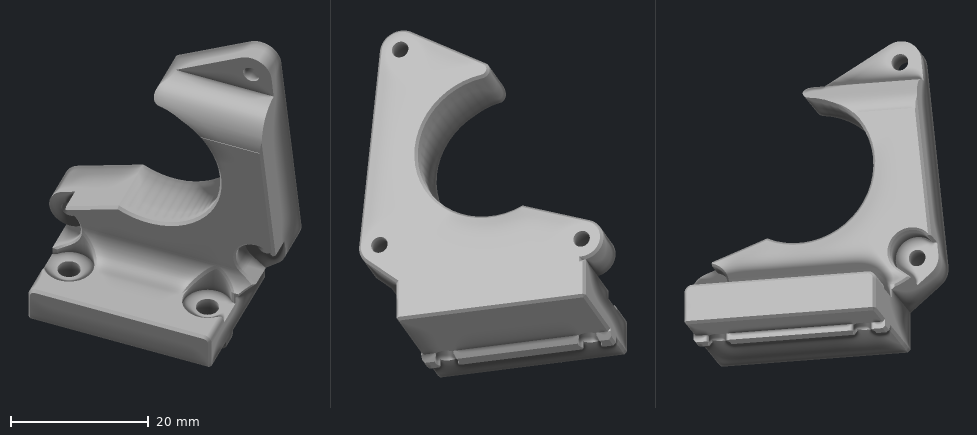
import cadquery as cq
import math


BASE_WIDTH = 28.7
BASE_DEPTH = 21.5
BASE_HEIGHT = 6.0
EDGE_CHAMFER = 0.4
RIM_CHAMFER = 0.3
SHOULDER_RADIUS = 1.2

PLATE_THICKNESS = 10.3
WEB_RADIUS = 4.0
OPENING_RADIUS = 11.15
OPENING_CENTER = (0.0, 26.0)
TIP_RADIUS = 1.25

EAR_RADIUS = 3.2
EAR_HOLE_DIAMETER = 2.5
LEFT_EAR = (-13.83, BASE_HEIGHT + EAR_RADIUS)
RIGHT_EAR = (16.85, 12.3)
TOP_EAR = (13.7, 43.12)
EAR_THICKNESS = 6.5
LEFT_SLOPE = 20.0
TIP_SLOPE = 30.0

TAB_THICKNESS = 4.2
TAB_ROUND_RADIUS = 6.0
TAB_ROUND_BOTTOM = 34.0

LEFT_RELIEF_OFFSET = 0.85
RELIEF_HALF_WIDTH = 2.15
RIGHT_RELIEF_SLOPE = 38.0

SCREW_SPACING = 21.7
SCREW_Y = -14.05
SCREW_HOLE_DIAMETER = 3.4
COUNTERBORE_RADIUS = 3.7
COUNTERBORE_DEPTH = 1.2

FOOT_HEIGHT = 1.0
FOOT_FRONT_Y = -15.6
FOOT_BACK_Y = -12.75
FOOT_SLOPE_RUN = 0.75
FOOT_GAP = 2.7
FOOT_CORNER_RADIUS = 0.4

LEFT_RIM_ANGLE = 45
LEFT_RIDGE_ANGLE = -40
RIGHT_RIM_ANGLE = 145

REACH = 60.0

HALF_WIDTH = BASE_WIDTH / 2
ROOT_Z = BASE_HEIGHT / 2
SCREW_XS = (-SCREW_SPACING / 2, SCREW_SPACING / 2)


def move(point, direction, distance):
    return (point[0] + direction[0] * distance, point[1] + direction[1] * distance)


def heading(degrees):
    return (math.cos(math.radians(degrees)), math.sin(math.radians(degrees)))


def angle_to(start, end):
    return math.degrees(math.atan2(end[1] - start[1], end[0] - start[0]))


def last_crossing(point, direction, center, radius):
    """Point where a line, followed along a unit direction, finally leaves a circle."""
    dx = point[0] - center[0]
    dz = point[1] - center[1]
    along = dx * direction[0] + dz * direction[1]
    reach = math.sqrt(along**2 - (dx**2 + dz**2 - radius**2))
    return move(point, direction, reach - along)


def front_prism(sketch, start_y, end_y):
    """Extrude an XZ sketch towards -Y between two Y levels."""
    return sketch.extrude(start_y - end_y).translate((0, start_y, 0))


def box_between(low, high):
    size = [b - a for a, b in zip(low, high)]
    return cq.Workplane("XY").box(*size, centered=False).translate(low)


def break_edge(body, near_point, size):
    """Chamfer the edge whose center is nearest to a point, with its tangent neighbours."""
    return body.edges(cq.selectors.NearestToPointSelector(near_point)).chamfer(size)


def plate_outline():
    left_normal = 90 + LEFT_SLOPE
    left_tangent = move(LEFT_EAR, heading(left_normal), EAR_RADIUS)
    left_mid = move(LEFT_EAR, heading((left_normal + 270) / 2), EAR_RADIUS)
    left_bottom = move(LEFT_EAR, heading(270), EAR_RADIUS)
    opening_start = last_crossing(left_tangent, heading(180 + LEFT_SLOPE), OPENING_CENTER, OPENING_RADIUS)
    opening_mid = move(OPENING_CENTER, heading(0), OPENING_RADIUS)

    tip_normal = 90 + TIP_SLOPE
    tip_track = move(TOP_EAR, heading(tip_normal), EAR_RADIUS - TIP_RADIUS)
    tip_center = last_crossing(tip_track, heading(TIP_SLOPE), OPENING_CENTER, OPENING_RADIUS + TIP_RADIUS)
    opening_end = move(OPENING_CENTER, heading(angle_to(OPENING_CENTER, tip_center)), OPENING_RADIUS)
    tip_mid = move(tip_center, heading(180), TIP_RADIUS)
    tip_end = move(tip_center, heading(tip_normal), TIP_RADIUS)
    top_start = move(TOP_EAR, heading(tip_normal), EAR_RADIUS)

    side_normal = angle_to(RIGHT_EAR, TOP_EAR) - 90
    top_mid = move(TOP_EAR, heading((tip_normal + side_normal) / 2), EAR_RADIUS)
    top_end = move(TOP_EAR, heading(side_normal), EAR_RADIUS)
    right_start = move(RIGHT_EAR, heading(side_normal), EAR_RADIUS)

    corner = (HALF_WIDTH, BASE_HEIGHT)
    half_angle = math.degrees(math.asin(EAR_RADIUS / math.dist(corner, RIGHT_EAR)))
    under_normal = angle_to(corner, RIGHT_EAR) - half_angle - 90
    right_mid = move(RIGHT_EAR, heading((side_normal + under_normal) / 2), EAR_RADIUS)
    right_end = move(RIGHT_EAR, heading(under_normal), EAR_RADIUS)

    return (
        cq.Workplane("XZ")
        .moveTo(*left_bottom)
        .threePointArc(left_mid, left_tangent)
        .lineTo(*opening_start)
        .threePointArc(opening_mid, opening_end)
        .threePointArc(tip_mid, tip_end)
        .lineTo(*top_start)
        .threePointArc(top_mid, top_end)
        .lineTo(*right_start)
        .threePointArc(right_mid, right_end)
        .lineTo(*corner)
        .lineTo(HALF_WIDTH, ROOT_Z)
        .lineTo(LEFT_EAR[0], ROOT_Z)
        .close()
    )


def make_plate():
    plate = front_prism(plate_outline(), 0, -PLATE_THICKNESS)
    return plate.faces("<Y or >Y").chamfer(EDGE_CHAMFER)


def make_web():
    """Concave fillet between plate and base, trimmed by the right underside of the plate."""
    inner_y = -PLATE_THICKNESS + 2 * EDGE_CHAMFER
    outer_y = -PLATE_THICKNESS - WEB_RADIUS
    top_z = BASE_HEIGHT + WEB_RADIUS
    arc_mid = move((outer_y, top_z), heading(-45), WEB_RADIUS)
    web = (
        cq.Workplane("YZ", origin=(-HALF_WIDTH, 0, 0))
        .moveTo(inner_y, ROOT_Z)
        .lineTo(inner_y, top_z)
        .lineTo(-PLATE_THICKNESS, top_z)
        .threePointArc(arc_mid, (outer_y, BASE_HEIGHT))
        .lineTo(outer_y, ROOT_Z)
        .close()
        .extrude(BASE_WIDTH + 2 * EAR_RADIUS)
    )
    left_fill = box_between((-HALF_WIDTH, outer_y, ROOT_Z), (0, inner_y, top_z))
    return web.intersect(front_prism(plate_outline(), 0, -BASE_DEPTH).union(left_fill))


def make_base():
    """Block whose top side edges are rounded in front of the screws only."""
    front = box_between((-HALF_WIDTH, -BASE_DEPTH, 0), (HALF_WIDTH, SCREW_Y, BASE_HEIGHT))
    front = front.edges("|Y and >Z").fillet(SHOULDER_RADIUS)
    rear = box_between((-HALF_WIDTH, SCREW_Y, 0), (HALF_WIDTH, 0, BASE_HEIGHT))
    return front.union(rear).faces("<Z or <Y or >Y").chamfer(EDGE_CHAMFER)


def make_foot():
    """Locating strip under the base, sloped at the back and interrupted at the screws."""
    foot = (
        cq.Workplane("YZ", origin=(-HALF_WIDTH, 0, 0))
        .moveTo(FOOT_FRONT_Y, ROOT_Z)
        .lineTo(FOOT_FRONT_Y, -FOOT_HEIGHT)
        .lineTo(FOOT_BACK_Y - FOOT_SLOPE_RUN, -FOOT_HEIGHT)
        .lineTo(FOOT_BACK_Y, 0)
        .lineTo(FOOT_BACK_Y, ROOT_Z)
        .close()
        .extrude(BASE_WIDTH)
    )
    foot = foot.edges("|Y and <Z").chamfer(EDGE_CHAMFER)
    for x in SCREW_XS:
        gap = box_between((x - FOOT_GAP / 2, -BASE_DEPTH, -REACH), (x + FOOT_GAP / 2, 0, 0))
        foot = foot.cut(gap)
        for corner_x in (x - FOOT_GAP / 2, x + FOOT_GAP / 2):
            corner = cq.selectors.NearestToPointSelector((corner_x, FOOT_FRONT_Y, -FOOT_HEIGHT / 2))
            foot = foot.edges(corner).fillet(FOOT_CORNER_RADIUS)
    return foot


def tab_round_cutter():
    """Space in front of the thin top tab, with its quarter-round lower end."""
    round_top = TAB_ROUND_BOTTOM + TAB_ROUND_RADIUS
    front_y = -TAB_THICKNESS - TAB_ROUND_RADIUS
    arc_mid = move((-TAB_THICKNESS, TAB_ROUND_BOTTOM), heading(135), TAB_ROUND_RADIUS)
    return (
        cq.Workplane("YZ", origin=(-REACH / 2, 0, 0))
        .moveTo(-TAB_THICKNESS, REACH)
        .lineTo(-TAB_THICKNESS, round_top)
        .threePointArc(arc_mid, (front_y, TAB_ROUND_BOTTOM))
        .lineTo(-REACH, TAB_ROUND_BOTTOM)
        .lineTo(-REACH, REACH)
        .close()
        .extrude(REACH)
    )


def ear_cutter(ear, side_sketch):
    """Space in front of an ear: a round pocket opened towards the outside."""
    pocket = cq.Workplane("XZ").moveTo(*ear).circle(EAR_RADIUS)
    pocket = front_prism(pocket, -EAR_THICKNESS, -REACH)
    return pocket.union(front_prism(side_sketch, -EAR_THICKNESS, -REACH))


def left_ear_cutter():
    wall_x = LEFT_EAR[0] + LEFT_RELIEF_OFFSET
    side = (
        cq.Workplane("XZ")
        .moveTo(LEFT_EAR[0], 0)
        .lineTo(LEFT_EAR[0], LEFT_EAR[1])
        .lineTo(wall_x, LEFT_EAR[1])
        .lineTo(wall_x, LEFT_EAR[1] + 2 * EAR_RADIUS)
        .lineTo(-REACH, LEFT_EAR[1] + 2 * EAR_RADIUS)
        .lineTo(-REACH, 0)
        .close()
    )
    return ear_cutter(LEFT_EAR, side)


def right_ear_cutter():
    wall_z = RIGHT_EAR[1] + RELIEF_HALF_WIDTH
    tangent = move(RIGHT_EAR, heading(270 - RIGHT_RELIEF_SLOPE), EAR_RADIUS)
    tangent_end = move(tangent, heading(-RIGHT_RELIEF_SLOPE), 3 * EAR_RADIUS)
    side = (
        cq.Workplane("XZ")
        .moveTo(*RIGHT_EAR)
        .lineTo(RIGHT_EAR[0], wall_z)
        .lineTo(tangent_end[0], wall_z)
        .lineTo(*tangent_end)
        .lineTo(*tangent)
        .close()
    )
    return ear_cutter(RIGHT_EAR, side)


def counterbore_cutter(x):
    floor_z = BASE_HEIGHT - COUNTERBORE_DEPTH
    height = WEB_RADIUS + COUNTERBORE_DEPTH
    bore = cq.Workplane("XY", origin=(x, SCREW_Y, floor_z)).circle(COUNTERBORE_RADIUS).extrude(height)
    outer_x = math.copysign(HALF_WIDTH + 2 * EAR_RADIUS, x)
    slot = box_between(
        (min(x, outer_x), SCREW_Y - RELIEF_HALF_WIDTH, floor_z),
        (max(x, outer_x), SCREW_Y + RELIEF_HALF_WIDTH, floor_z + height),
    )
    cutter = bore.union(slot)
    corner_x = x + math.copysign(math.sqrt(COUNTERBORE_RADIUS**2 - RELIEF_HALF_WIDTH**2), x)
    return break_edge(cutter, (corner_x, SCREW_Y + RELIEF_HALF_WIDTH, floor_z + height / 2), RIM_CHAMFER)


def make_upright():
    """Plate and web with the screw and ear clearances cut and their rims broken."""
    upright = make_plate().union(make_web())
    for x in SCREW_XS:
        upright = upright.cut(counterbore_cutter(x))
        inner_x = x - math.copysign(COUNTERBORE_RADIUS / 3, x)
        rim = (inner_x, -PLATE_THICKNESS - WEB_RADIUS / 4, BASE_HEIGHT + WEB_RADIUS / 2)
        upright = break_edge(upright, rim, RIM_CHAMFER)

    upright = upright.cut(left_ear_cutter()).cut(right_ear_cutter())
    for ear, rim_angle in ((LEFT_EAR, LEFT_RIM_ANGLE), (RIGHT_EAR, RIGHT_RIM_ANGLE)):
        rim_x, rim_z = move(ear, heading(rim_angle), EAR_RADIUS)
        upright = break_edge(upright, (rim_x, -PLATE_THICKNESS, rim_z), RIM_CHAMFER)

    ridge_x, ridge_z = move(LEFT_EAR, heading(LEFT_RIDGE_ANGLE), EAR_RADIUS)
    upright = break_edge(upright, (ridge_x, -PLATE_THICKNESS - WEB_RADIUS / 8, ridge_z), RIM_CHAMFER)

    slope_rim = (HALF_WIDTH + WEB_RADIUS / 2, -PLATE_THICKNESS - WEB_RADIUS / 4, BASE_HEIGHT + WEB_RADIUS / 2)
    upright = break_edge(upright, slope_rim, EDGE_CHAMFER)
    return upright.cut(tab_round_cutter())


def make_bored_base():
    base = make_base().union(make_foot())
    for x in SCREW_XS:
        base = base.cut(counterbore_cutter(x))
    left_countersink = (
        cq.Workplane("XY", origin=(SCREW_XS[0], SCREW_Y, BASE_HEIGHT - RIM_CHAMFER))
        .circle(COUNTERBORE_RADIUS)
        .workplane(offset=RIM_CHAMFER)
        .circle(COUNTERBORE_RADIUS + RIM_CHAMFER)
        .loft()
    )
    return base.cut(left_countersink)


def drill_holes(body):
    for x in SCREW_XS:
        screw_hole = cq.Workplane("XY", origin=(x, SCREW_Y, -REACH)).circle(SCREW_HOLE_DIAMETER / 2)
        body = body.cut(screw_hole.extrude(2 * REACH))
    for ear in (LEFT_EAR, RIGHT_EAR, TOP_EAR):
        ear_hole = cq.Workplane("XZ").moveTo(*ear).circle(EAR_HOLE_DIAMETER / 2)
        body = body.cut(front_prism(ear_hole, 0, -REACH))
    return body


result = drill_holes(make_upright().union(make_bored_base()))